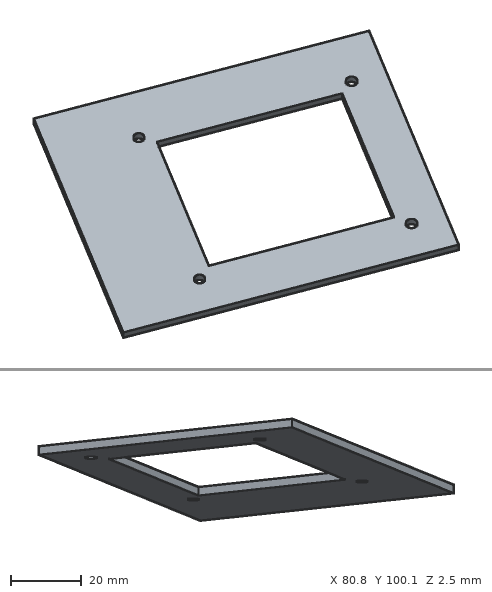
import cadquery as cq

plate_width = 80.8
plate_length = 100.1
plate_thickness = 2.5

window_width = 46.7
window_length = 55.2
window_left_margin = 18.9
window_back_margin = 14.3

back_hole_diameter = 3.3
front_hole_diameter = 3.1
back_hole_centers = [(15.6, 89.7), (69.4, 89.8)]
front_hole_centers = [(15.8, 26.1), (69.4, 26.5)]


def through_holes(centers, diameter):
    """Cylinders that cut holes through the full plate thickness."""
    return cq.Workplane("XY").pushPoints(centers).circle(diameter / 2).extrude(plate_thickness)


plate = cq.Workplane("XY").box(plate_width, plate_length, plate_thickness, centered=False)

window_front = plate_length - window_back_margin - window_length
window = (
    cq.Workplane("XY")
    .box(window_width, window_length, plate_thickness, centered=False)
    .translate((window_left_margin, window_front, 0))
)

result = (
    plate.cut(window)
    .cut(through_holes(back_hole_centers, back_hole_diameter))
    .cut(through_holes(front_hole_centers, front_hole_diameter))
)